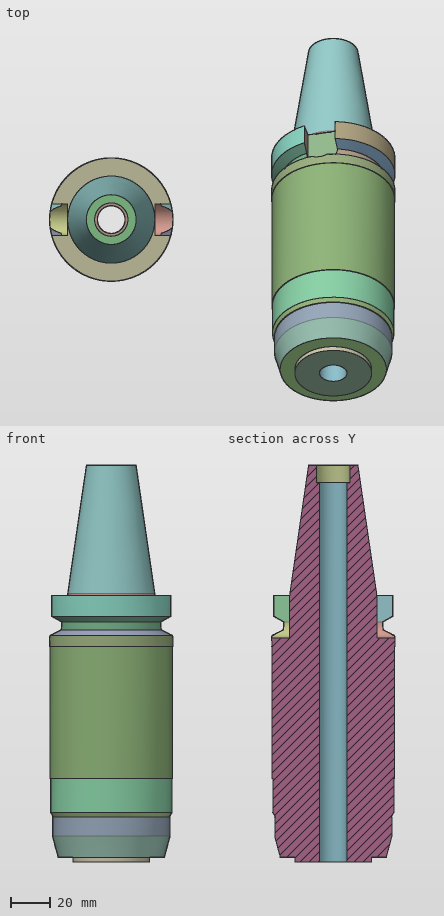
import cadquery as cq
import math

total_length = 202.4
taper_length = 65.4
gauge_z = total_length - taper_length

taper_large_dia = 44.45
taper_ratio = 7 / 24
taper_small_dia = taper_large_dia - taper_length * taper_ratio
flange_gap = 1.0
flange_top_z = gauge_z - flange_gap

flange_dia = 63.0
groove_root_dia = 53.0
groove_center_z = gauge_z - 16.6
groove_half_angle = 30.0
groove_mouth = 9.8
groove_depth = (flange_dia - groove_root_dia) / 2
groove_root_width = groove_mouth - 2 * groove_depth * math.tan(math.radians(groove_half_angle))
flange_bottom_z = gauge_z - 27.0

body_dia = 62.6
body_bottom_z = 42.6
sleeve_dia = 62.0
sleeve_bottom_z = 25.3
relief_dia = 59.2
collar_dia = 60.0
collar_top_z = 23.0
collar_bottom_z = 13.2
nose_dia = 54.2
nose_bottom_z = 2.4
end_ring_dia = 39.2

slot_width = 16.1
slot_floor_x = 22.4
slot_bottom_z = gauge_z - 22.6
slot_arc_center_z = slot_bottom_z + slot_width / 2

through_bore_dia = 14.0
counterbore_dia = 17.0
counterbore_depth = 9.0


def make_body():
    """Revolve the half profile, written as (diameter, height) pairs, about Z."""
    stations = [
        (0, 0),
        (end_ring_dia, 0),
        (end_ring_dia, nose_bottom_z),
        (nose_dia, nose_bottom_z),
        (collar_dia, collar_bottom_z),
        (collar_dia, collar_top_z),
        (relief_dia, collar_top_z),
        (sleeve_dia, sleeve_bottom_z),
        (sleeve_dia, body_bottom_z),
        (body_dia, body_bottom_z),
        (body_dia, flange_bottom_z),
        (flange_dia, flange_bottom_z),
        (flange_dia, groove_center_z - groove_mouth / 2),
        (groove_root_dia, groove_center_z - groove_root_width / 2),
        (groove_root_dia, groove_center_z + groove_root_width / 2),
        (flange_dia, groove_center_z + groove_mouth / 2),
        (flange_dia, flange_top_z),
        (taper_large_dia, flange_top_z),
        (taper_large_dia, gauge_z),
        (taper_small_dia, total_length),
        (0, total_length),
    ]
    points = [(diameter / 2, height) for diameter, height in stations]
    return cq.Workplane("XZ").polyline(points).close().revolve(360, (0, 0), (0, 1))


def make_drive_slot(side):
    """Round-bottomed slot cutter, open at the flange top; side is +1 or -1 along X."""
    half_width = slot_width / 2
    return (
        cq.Workplane("YZ", origin=(side * slot_floor_x, 0, 0))
        .moveTo(-half_width, flange_top_z)
        .lineTo(-half_width, slot_arc_center_z)
        .threePointArc((0, slot_bottom_z), (half_width, slot_arc_center_z))
        .lineTo(half_width, flange_top_z)
        .close()
        .extrude(side * flange_dia / 2)
    )


def make_bores():
    """Through bore with a counterbore at the small end of the taper."""
    through = cq.Workplane("XY").circle(through_bore_dia / 2).extrude(total_length)
    counterbore = (
        cq.Workplane("XY", origin=(0, 0, total_length))
        .circle(counterbore_dia / 2)
        .extrude(-counterbore_depth)
    )
    return through.union(counterbore)


result = make_body()
for side in (1, -1):
    result = result.cut(make_drive_slot(side))
result = result.cut(make_bores())